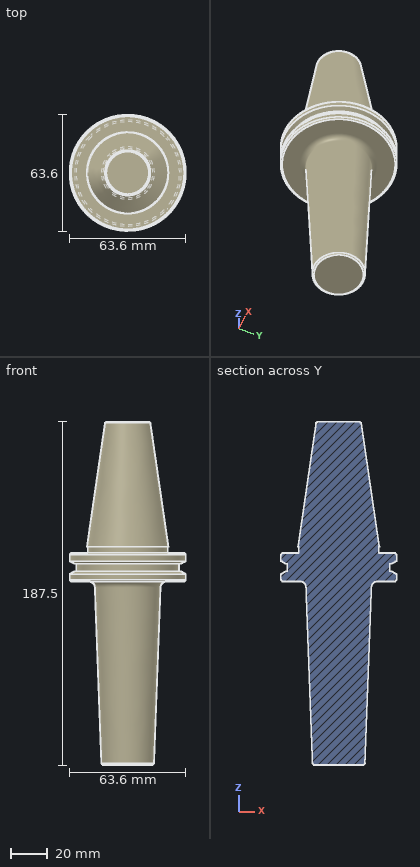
import cadquery as cq
import math

total_height = 187.5

gauge_radius = 22.3
taper_length = 68.5
taper_ratio = 7 / 24
taper_end_chamfer = 0.8
relief_radius = 22.0
relief_height = 3.2

flange_radius = 31.78
flange_thickness = 15.8
flange_chamfer = 1.0
groove_floor_radius = 28.1
groove_bevel_end_radius = 29.0
groove_opening = 7.1
groove_offset = 4.5
groove_flank_angle = 30.0

body_top_radius = 18.0
nose_radius = 14.5
nose_chamfer = 1.0
body_fillet = 3.2

gauge_z = total_height - taper_length
flange_top = gauge_z - relief_height
flange_bottom = flange_top - flange_thickness
taper_end_radius = gauge_radius - taper_length * taper_ratio / 2


def revolve_profile(profile):
    """Turn a closed (radius, height) profile into a solid about Z."""
    return profile.close().revolve(360, (0, 0, 0), (0, 1, 0))


def make_taper():
    profile = (
        cq.Workplane("XZ")
        .moveTo(0, flange_top)
        .lineTo(relief_radius, flange_top)
        .lineTo(relief_radius, gauge_z)
        .lineTo(gauge_radius, gauge_z)
        .lineTo(taper_end_radius, total_height)
        .lineTo(0, total_height)
    )
    return revolve_profile(profile).faces(">Z").chamfer(taper_end_chamfer)


def make_flange():
    disc = (
        cq.Workplane("XY", origin=(0, 0, flange_bottom))
        .circle(flange_radius)
        .extrude(flange_thickness)
        .edges()
        .chamfer(flange_chamfer)
    )
    groove_top = flange_top - groove_offset
    groove_bottom = groove_top - groove_opening
    bevel_depth = flange_radius - groove_bevel_end_radius
    bevel_height = bevel_depth * math.tan(math.radians(groove_flank_angle))
    groove = (
        cq.Workplane("XZ")
        .moveTo(flange_radius, groove_top)
        .lineTo(groove_bevel_end_radius, groove_top - bevel_height)
        .lineTo(groove_floor_radius, groove_top - bevel_height)
        .lineTo(groove_floor_radius, groove_bottom + bevel_height)
        .lineTo(groove_bevel_end_radius, groove_bottom + bevel_height)
        .lineTo(flange_radius, groove_bottom)
    )
    return disc.cut(revolve_profile(groove))


def make_body():
    """Tapered body, with a concave quarter round running into the flange."""
    shoulder_z = flange_bottom - body_fillet
    arc_offset = body_fillet * (1 - math.sqrt(0.5))
    profile = (
        cq.Workplane("XZ")
        .lineTo(nose_radius - nose_chamfer, 0)
        .lineTo(nose_radius, nose_chamfer)
        .lineTo(body_top_radius, shoulder_z)
        .threePointArc(
            (body_top_radius + arc_offset, flange_bottom - arc_offset),
            (body_top_radius + body_fillet, flange_bottom),
        )
        .lineTo(0, flange_bottom)
    )
    return revolve_profile(profile)


result = make_body().union(make_flange()).union(make_taper())